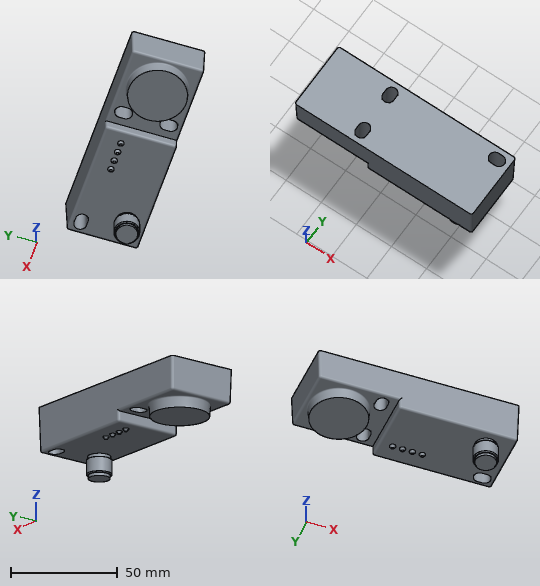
import cadquery as cq
import math

LENGTH = 101.0
WIDTH = 36.0
DEEP_HEIGHT = 22.2
SHALLOW_HEIGHT = 16.9
DRAFT_ANGLE = 1.5
EDGE_RADIUS = 1.2
STEP_X = -LENGTH / 2 + 40.8

DISC_X = -LENGTH / 2 + 17.1
DISC_BASE_RADIUS = 14.5
DISC_DRAFT_ANGLE = 6.0
DISC_HEIGHT = DEEP_HEIGHT - SHALLOW_HEIGHT
DISC_BASE_FILLET = 0.6
DISC_RIM_HEIGHT = 0.7

SLOT_LENGTH = 8.5
SLOT_WIDTH = 6.1
PAIR_SLOT_X = -LENGTH / 2 + 34.0
PAIR_SLOT_Y = 11.1
END_SLOT_X = LENGTH / 2 - 6.9
END_SLOT_Y = 12.3

LAMP_COUNT = 4
LAMP_ROW_LENGTH = 14.9
LAMP_PITCH = LAMP_ROW_LENGTH / (LAMP_COUNT - 1)
FIRST_LAMP_X = -LENGTH / 2 + 47.4
LAMP_Y = 8.1
LAMP_BASE_RADIUS = 1.5
LAMP_TIP_RADIUS = 0.6
LAMP_HEIGHT = 1.2

CONNECTOR_X = LENGTH / 2 - 13.2
CONNECTOR_Y = -8.1
CONNECTOR_LENGTH = 10.8
NECK_RADIUS = 5.5
NECK_LENGTH = 1.5
COLLAR_RADIUS = 6.1
COLLAR_LENGTH = 7.8
TIP_RADIUS = 5.2
COLLAR_CHAMFER = 0.5
COLLAR_SHOULDER = 0.3


def revolve_down(profile, x, y, z):
    """Revolve a (radius, depth) profile about a vertical axis, depth measured down from z."""
    points = [(radius, -depth) for radius, depth in profile]
    return cq.Workplane("XZ").polyline(points).close().revolve(360, (0, 0), (0, 1)).translate((x, y, z))


def make_block():
    """Drafted block with its -X end cut shallower, rounded everywhere except the top rim."""
    block = cq.Workplane("XY").rect(LENGTH, WIDTH).extrude(-DEEP_HEIGHT, taper=DRAFT_ANGLE)
    recess = cq.Workplane("XY").box(LENGTH, 2 * WIDTH, DEEP_HEIGHT, centered=(False, True, False))
    block = block.cut(recess.translate((STEP_X - LENGTH, 0, -SHALLOW_HEIGHT - DEEP_HEIGHT)))
    step_corner = cq.selectors.NearestToPointSelector((STEP_X, 0, -SHALLOW_HEIGHT))
    rounded_edges = block.edges(cq.selectors.SubtractSelector(
        cq.StringSyntaxSelector("not(>Z)"), step_corner))
    return rounded_edges.fillet(EDGE_RADIUS)


def make_disc():
    drafted_height = DISC_HEIGHT - DISC_RIM_HEIGHT
    rim_radius = DISC_BASE_RADIUS - drafted_height * math.tan(math.radians(DISC_DRAFT_ANGLE))
    profile = [
        (0, 0),
        (DISC_BASE_RADIUS, 0),
        (rim_radius, drafted_height),
        (rim_radius, DISC_HEIGHT),
        (0, DISC_HEIGHT),
    ]
    return revolve_down(profile, DISC_X, 0, -SHALLOW_HEIGHT)


def make_lamp(x):
    profile = [(0, 0), (LAMP_BASE_RADIUS, 0), (LAMP_TIP_RADIUS, LAMP_HEIGHT), (0, LAMP_HEIGHT)]
    return revolve_down(profile, x, LAMP_Y, -DEEP_HEIGHT)


def make_slot(x, y, angle):
    return cq.Workplane("XY").center(x, y).slot2D(SLOT_LENGTH, SLOT_WIDTH, angle).extrude(-DEEP_HEIGHT)


def make_housing():
    housing = make_block().union(make_disc())
    base_point = (DISC_X, DISC_BASE_RADIUS, -SHALLOW_HEIGHT)
    base_circle = cq.selectors.NearestToPointSelector(base_point)
    housing = housing.edges("%CIRCLE").edges(base_circle).fillet(DISC_BASE_FILLET)
    for index in range(LAMP_COUNT):
        housing = housing.union(make_lamp(FIRST_LAMP_X + index * LAMP_PITCH))
    for y in (-PAIR_SLOT_Y, PAIR_SLOT_Y):
        housing = housing.cut(make_slot(PAIR_SLOT_X, y, 90))
    return housing.cut(make_slot(END_SLOT_X, END_SLOT_Y, 0))


def make_connector():
    collar_end = NECK_LENGTH + COLLAR_LENGTH
    profile = [
        (0, 0),
        (NECK_RADIUS, 0),
        (NECK_RADIUS, NECK_LENGTH),
        (COLLAR_RADIUS, NECK_LENGTH + COLLAR_SHOULDER),
        (COLLAR_RADIUS, collar_end - COLLAR_CHAMFER),
        (COLLAR_RADIUS - COLLAR_CHAMFER, collar_end),
        (TIP_RADIUS, collar_end),
        (TIP_RADIUS, CONNECTOR_LENGTH),
        (0, CONNECTOR_LENGTH),
    ]
    return revolve_down(profile, CONNECTOR_X, CONNECTOR_Y, -DEEP_HEIGHT)


housing = make_housing()
connector = make_connector()
result = cq.Compound.makeCompound([housing.val(), connector.val()])